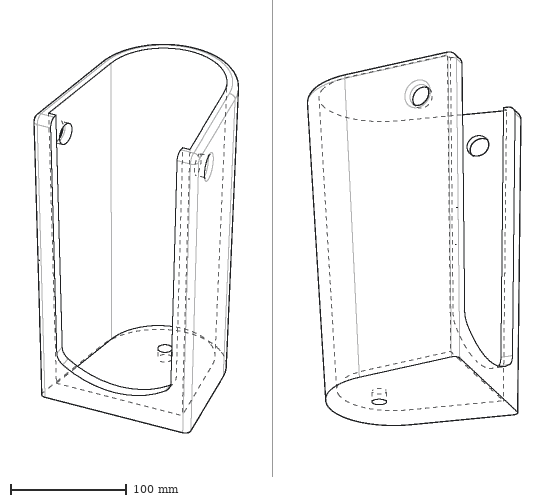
import cadquery as cq
import math

height = 285.2
rim_front_half = 79.9
rim_depth = 164.8
base_front_half = 72.2
base_depth = 148.0
side_angle = math.radians(8)

wall = 10.3
front_wall = 10.8
floor_thickness = 10.0
edge_radius = 5.0
front_rim_radius = 7.0

opening_top_half = 61.0
opening_corner_half = 54.8
opening_corner_z = 42.2
opening_bottom_z = 23.5
opening_corner_radius = 12.8

side_hole_y = 36.0
side_hole_z = 250.5
side_hole_diameter = 19.0
mouth_radius = 3.0
drain_y = 102.5
drain_diameter = 12.5


def d_outline(front_half, depth, inset, front_y, z):
    """D-shaped wire: straight front, leaning sides and a tangent round back, moved inward by inset."""
    lean = math.tan(side_angle)
    radius = (front_half - depth * lean) / (1 / math.cos(side_angle) - lean)
    center_y = depth - radius
    inner_radius = radius - inset
    tangent_x = inner_radius * math.cos(side_angle)
    tangent_y = center_y + inner_radius * math.sin(side_angle)
    front_x = tangent_x + (tangent_y - front_y) * lean
    return (
        cq.Workplane("XY", origin=(0, 0, z))
        .moveTo(-front_x, front_y)
        .lineTo(front_x, front_y)
        .lineTo(tangent_x, tangent_y)
        .threePointArc((0, center_y + inner_radius), (-tangent_x, tangent_y))
        .close()
        .val()
    )


def tapered_body(bottom_z, inset, front_y):
    """Solid between bottom_z and the rim that follows the taper of the shell."""
    grown = bottom_z / height
    front_half = base_front_half + (rim_front_half - base_front_half) * grown
    depth = base_depth + (rim_depth - base_depth) * grown
    lower = d_outline(front_half, depth, inset, front_y, bottom_z)
    upper = d_outline(rim_front_half, rim_depth, inset, front_y, height)
    return cq.Workplane(cq.Solid.makeLoft([lower, upper], True))


def front_opening():
    """Cutter for the front wall: narrowing sides above a sagging lower edge."""
    return (
        cq.Workplane("XZ")
        .moveTo(-opening_top_half, height)
        .lineTo(-opening_corner_half, opening_corner_z)
        .threePointArc((0, opening_bottom_z), (opening_corner_half, opening_corner_z))
        .lineTo(opening_top_half, height)
        .close()
        .extrude(2 * front_wall, both=True)
        .edges("|Y and (not >Z)")
        .fillet(opening_corner_radius)
    )


def cross_hole():
    """Cutter for the hole through both side walls, square to the taper of the -X wall."""
    taper = math.atan((rim_front_half - base_front_half) / height)
    axis = cq.Vector(math.cos(taper), 0, math.sin(taper))
    start = cq.Vector(-rim_front_half, side_hole_y, side_hole_z)
    return cq.Workplane(cq.Solid.makeCylinder(side_hole_diameter / 2, 2 * rim_depth, start, axis))


body = tapered_body(0, 0, 0)
body = body.faces("<Y").edges(">Z").fillet(front_rim_radius)
rim_edges = body.faces(">Z").edges("not <Y")
front_corners = body.faces("<Y").edges("not |X")
result = rim_edges.add(front_corners).fillet(edge_radius)

result = result.cut(cross_hole())
mouth_zone = cq.selectors.BoxSelector(
    (-height, side_hole_y - side_hole_diameter, side_hole_z - side_hole_diameter),
    (height, side_hole_y + side_hole_diameter, side_hole_z + side_hole_diameter),
)
result = result.edges("not %LINE").edges(mouth_zone).fillet(mouth_radius)

result = result.cut(tapered_body(floor_thickness, wall, front_wall))
result = result.cut(front_opening())

drain = cq.Workplane("XY").center(0, drain_y).circle(drain_diameter / 2).extrude(2 * floor_thickness)
result = result.cut(drain)